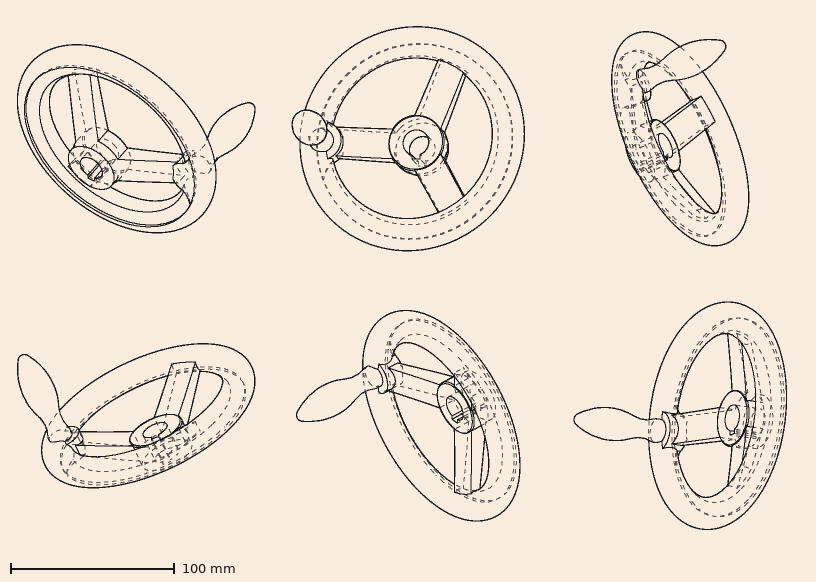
import cadquery as cq
import math


outer_radius = 70.0
rim_front = 21.0
rim_thickness = 17.0
rim_opening_radius = 123.0 / 2
rim_inner_radius = 50.5
rim_step_width = 0.4
rim_step_depth = 1.8
rim_cone_inner_radius = 52.9
rim_cone_back = 25.2
rim_rear = rim_front + rim_thickness
rim_middle = rim_front + rim_thickness / 2
rim_round = rim_thickness / 2
rim_inner_center = rim_inner_radius + rim_round

hub_front_radius = 33.0 / 2
hub_body_radius = 17.5
hub_front_length = 4.8
hub_flare_radius = 3.0
hub_length = 18.8
hub_rear_chamfer = 0.8
flare_remainder = hub_flare_radius - (hub_body_radius - hub_front_radius)
hub_flare_end = hub_front_length + math.sqrt(hub_flare_radius**2 - flare_remainder**2)
bore_diameter = 16.0
key_width = 4.9
key_depth = 10.2

spoke_count = 3
spoke_front_angle = 30.0
spoke_rear_angle = 24.0
spoke_rear_at_hub = 18.6
spoke_start_radius = 14.0
spoke_end_radius = 56.0
spoke_width_at_hub = 18.9
spoke_width_at_rim = 18.0

handle_offset = 55.0
boss_radius = 12.0
boss_front = rim_front + rim_step_depth
boss_rear = 36.0
boss_flare_start = (51.6, 11.6)
boss_flare_middle = (55.4, 16.8)
boss_flare_end = (56.8, 22.7)

handle_base_radius = 14.5 / 2
handle_neck_radius = 5.6
handle_grip_radius = 10.0
handle_tip_radius = 3.4
handle_neck_start = 39.2
handle_neck_end = 57.0
handle_grip_widest = 70.5
handle_tip_start = 95.7
handle_end = 97.5
handle_dome_height = handle_end - handle_tip_start
handle_dome_radius = (handle_tip_radius**2 + handle_dome_height**2) / (2 * handle_dome_height)


def turned(profile):
    """Revolve a closed (radius, Y) profile about the Y axis."""
    return profile.close().revolve(360, (0, 0, 0), (0, 1, 0))


def make_rim():
    """Round rim with a stepped, conical front recess inside it."""
    cone_outer_radius = rim_opening_radius - rim_step_width
    return turned(
        cq.Workplane("XY")
        .moveTo(cone_outer_radius, rim_front)
        .lineTo(rim_opening_radius, rim_front)
        .threePointArc((outer_radius, rim_middle), (rim_opening_radius, rim_rear))
        .lineTo(rim_inner_center, rim_rear)
        .threePointArc((rim_inner_radius, rim_middle), (rim_cone_inner_radius, rim_cone_back))
        .lineTo(cone_outer_radius, rim_front + rim_step_depth)
    )


def make_hub():
    """Stepped hub with a hollow flare between its diameters and a chamfered rear edge."""
    return turned(
        cq.Workplane("XY")
        .lineTo(hub_front_radius, 0)
        .lineTo(hub_front_radius, hub_front_length)
        .radiusArc((hub_body_radius, hub_flare_end), hub_flare_radius)
        .lineTo(hub_body_radius, hub_length - hub_rear_chamfer)
        .lineTo(hub_body_radius - hub_rear_chamfer, hub_length)
        .lineTo(0, hub_length)
    )


def make_spokes():
    """Tapered strips of one conical shell, whose front runs tangent into the hub flare."""
    flare_turn = math.radians(90 - spoke_front_angle)
    flare_outer_radius = hub_front_radius + hub_flare_radius * (1 - math.cos(flare_turn))
    flare_outer_y = hub_front_length + hub_flare_radius * math.sin(flare_turn)

    def front_at(radius):
        return flare_outer_y + (radius - flare_outer_radius) * math.tan(math.radians(spoke_front_angle))

    def rear_at(radius):
        return spoke_rear_at_hub + (radius - hub_body_radius) * math.tan(math.radians(spoke_rear_angle))

    shell = turned(
        cq.Workplane("XY")
        .moveTo(spoke_start_radius, hub_flare_end)
        .lineTo(hub_body_radius, hub_flare_end)
        .radiusArc((flare_outer_radius, flare_outer_y), hub_flare_radius)
        .lineTo(spoke_end_radius, front_at(spoke_end_radius))
        .lineTo(spoke_end_radius, rear_at(spoke_end_radius))
        .lineTo(spoke_start_radius, rear_at(spoke_start_radius))
    )
    strip = (
        cq.Workplane("XZ")
        .moveTo(0, -spoke_width_at_hub / 2)
        .lineTo(spoke_end_radius, -spoke_width_at_rim / 2)
        .lineTo(spoke_end_radius, spoke_width_at_rim / 2)
        .lineTo(0, spoke_width_at_hub / 2)
        .close()
        .extrude(-rim_rear)
    )
    strips = strip
    for index in range(1, spoke_count):
        strips = strips.union(strip.rotate((0, 0, 0), (0, 1, 0), index * 360 / spoke_count))
    return shell.intersect(strips)


def make_boss():
    """Flat-faced boss under the handle, flaring out into the rim on both sides."""
    x_start, z_start = boss_flare_start
    x_mid, z_mid = boss_flare_middle
    x_end, z_end = boss_flare_end
    return (
        cq.Workplane("XZ", origin=(0, boss_front, 0))
        .moveTo(x_start, z_start)
        .threePointArc((x_mid, z_mid), (x_end, z_end))
        .threePointArc((rim_opening_radius, 0), (x_end, -z_end))
        .threePointArc((x_mid, -z_mid), (x_start, -z_start))
        .threePointArc((handle_offset - boss_radius, 0), (x_start, z_start))
        .close()
        .extrude(boss_front - boss_rear)
    )


def make_handle():
    """Turned handle: base, waisted neck, bulging grip and domed tip."""
    neck_half_length = (handle_neck_end - handle_neck_start) / 2
    neck_end_angle = 2 * math.atan2(handle_base_radius - handle_neck_radius, neck_half_length)
    tip_angle = 2 * math.atan2(handle_grip_radius - handle_tip_radius, handle_tip_start - handle_grip_widest)
    return turned(
        cq.Workplane("XY")
        .moveTo(0, rim_middle)
        .lineTo(handle_base_radius, rim_middle)
        .lineTo(handle_base_radius, handle_neck_start)
        .threePointArc(
            (handle_neck_radius, handle_neck_start + neck_half_length), (handle_base_radius, handle_neck_end)
        )
        .spline(
            [(handle_grip_radius, handle_grip_widest), (handle_tip_radius, handle_tip_start)],
            tangents=[
                (math.sin(neck_end_angle), math.cos(neck_end_angle)),
                (-math.sin(tip_angle), math.cos(tip_angle)),
            ],
            includeCurrent=True,
        )
        .radiusArc((0, handle_end), -handle_dome_radius)
    ).translate((handle_offset, 0, 0))


def make_bore():
    """Through bore with a keyway on its -Z side."""
    bore = cq.Workplane("XZ").circle(bore_diameter / 2).extrude(-hub_length)
    key = cq.Workplane("XZ").center(0, -key_depth / 2).rect(key_width, key_depth).extrude(-hub_length)
    return bore.union(key)


result = (
    make_rim()
    .union(make_hub())
    .union(make_spokes())
    .union(make_boss())
    .union(make_handle())
    .cut(make_bore())
)